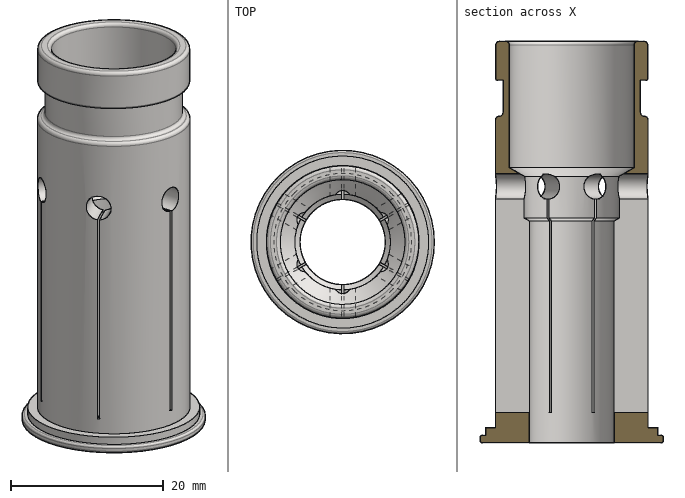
import cadquery as cq
import math

full_turn = 360.0

total_height = 52.5
rim_height = 1.0
flange_height = 2.0
body_top = 42.7
collar_bottom = 47.4

rim_radius = 24.0 / 2
flange_radius = 22.5 / 2
body_radius = 20.0 / 2
neck_radius = 18.0 / 2
collar_radius = 19.9 / 2

rim_round = 0.3
body_round = 0.5
neck_round = 0.5
collar_top_round = 0.5
collar_bottom_round = 0.2
mouth_round = 0.5

upper_bore_radius = 16.3 / 2
middle_bore_radius = 12.5 / 2
lower_bore_radius = 11.11 / 2
cone_half_angle = math.radians(59.0)
middle_bore_top = 34.85
lower_bore_top = 29.0

slot_count = 6
first_slot_angle = 30.0
hole_diameter = 3.3
hole_height = 33.5
slot_width = 0.3
slot_bottom = 4.0


def cone_height(large_radius, small_radius):
    """Axial length of a drill-point cone between two radii."""
    return (large_radius - small_radius) / math.tan(cone_half_angle)


def disc(radius, bottom, top):
    """Solid disc about the sleeve axis between two heights."""
    return cq.Workplane("XY").workplane(offset=bottom).circle(radius).extrude(top - bottom)


def make_outside():
    """Stack of flange, body, neck and collar with rounded edges."""
    rim = disc(rim_radius, 0, rim_height).edges().fillet(rim_round)
    flange = disc(flange_radius, 0, flange_height)
    body = disc(body_radius, 0, body_top).edges(">Z").fillet(body_round)
    neck = disc(neck_radius, 0, total_height)
    collar = disc(collar_radius, collar_bottom, total_height)
    collar = collar.edges(">Z").fillet(collar_top_round)
    collar = collar.edges("<Z").fillet(collar_bottom_round)
    return rim.union(flange).union(body).union(neck).union(collar)


def make_neck_fillet():
    """Rounded root between the neck and the shoulder on top of the body."""
    sag = neck_round * (1 - math.sqrt(0.5))
    return (
        cq.Workplane("XZ")
        .moveTo(neck_radius, body_top)
        .lineTo(neck_radius + neck_round, body_top)
        .threePointArc(
            (neck_radius + sag, body_top + sag),
            (neck_radius, body_top + neck_round),
        )
        .close()
        .revolve(full_turn, (0, 0, 0), (0, 1, 0))
    )


def make_bore():
    """Stepped bore with conical transitions and a rounded mouth."""
    upper_bore_bottom = middle_bore_top + cone_height(upper_bore_radius, middle_bore_radius)
    middle_bore_bottom = lower_bore_top + cone_height(middle_bore_radius, lower_bore_radius)
    sag = mouth_round * (1 - math.sqrt(0.5))
    return (
        cq.Workplane("XZ")
        .lineTo(lower_bore_radius, 0)
        .lineTo(lower_bore_radius, lower_bore_top)
        .lineTo(middle_bore_radius, middle_bore_bottom)
        .lineTo(middle_bore_radius, middle_bore_top)
        .lineTo(upper_bore_radius, upper_bore_bottom)
        .lineTo(upper_bore_radius, total_height - mouth_round)
        .threePointArc(
            (upper_bore_radius + sag, total_height - sag),
            (upper_bore_radius + mouth_round, total_height),
        )
        .lineTo(0, total_height)
        .close()
        .revolve(full_turn, (0, 0, 0), (0, 1, 0))
    )


def make_relief_cutter(angle):
    """Radial hole with a slot below it, pointing outward at the given angle."""
    hole = (
        cq.Workplane("YZ")
        .center(0, hole_height)
        .circle(hole_diameter / 2)
        .extrude(rim_radius)
    )
    slot = (
        cq.Workplane("YZ")
        .center(0, (hole_height + slot_bottom) / 2)
        .rect(slot_width, hole_height - slot_bottom)
        .extrude(rim_radius)
    )
    return hole.union(slot).rotate((0, 0, 0), (0, 0, 1), angle)


result = make_outside().union(make_neck_fillet()).cut(make_bore())
for index in range(slot_count):
    result = result.cut(make_relief_cutter(first_slot_angle + index * full_turn / slot_count))